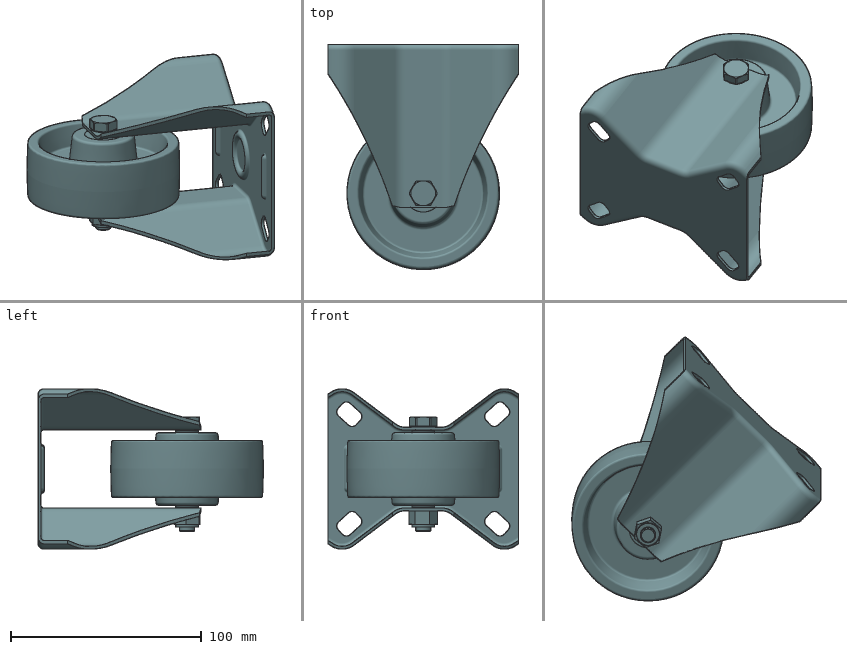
import cadquery as cq
import math


sheet = 1.5
plate_width = 100.0
plate_y = 78.0
leg_end_y = -7.3
bend_radius = sheet

web_z = 22.0
web_corner_x = 12.4
flare_slope = math.radians(37)
lip_slope = math.radians(32)
web_bend_radius = 7.9
crest_radius = 10.4
crest_x = 42.5
lip_overrun = 5.9
outline_half_width = plate_width / 2 + lip_overrun
bracket_reach = 47.2

leg_shoulder_y = 62.5
leg_edge_middle = (29.4, 26.2)
leg_tip = (16.2, -6.5)

slot_x = 38.7
slot_z = 28.7
slot_length = 12.7
slot_width = 9.0
slot_corner_radius = 3.0
slot_angle = 42.5

bead_width = 5.7
bead_height = 1.9
bead_root_fillet = 0.8
rib_x = 38.9
rib_straight = 20.1
ring_radius = 10.7

wheel_radius = 40.0
tread_edge_radius = 39.5
wheel_width = 30.0
tread_edge_fillet = 1.1
rim_mouth_radius = 33.9
rim_root_radius = 31.4
rim_fillet = 1.2
disc_thickness = 5.9
hub_length = 38.0
hub_end_radius = 16.2
hub_root_radius = 17.9
hub_fillet = 1.5

bolt_radius = 4.0
sleeve_radius = 6.0
sleeve_length = 40.0
bushing_radius = 9.8
bushing_length = 10.0
hex_flats = 13.0
bolt_head_height = 5.3
bolt_collar_radius = 6.4
bolt_collar_height = 0.5
bolt_end_z = -32.8
bolt_end_chamfer = 0.6
head_chamfer_height = 0.5
head_chamfer_angle = math.radians(30)
nut_height = 7.1
nut_collar_radius = 6.0
nut_collar_height = 1.4
nut_turn = -4

plate_inner_y = plate_y - sheet
tolerance = 0.01


def cylinder(radius, z_low, z_high):
    return cq.Workplane("XY").workplane(offset=z_low).circle(radius).extrude(z_high - z_low)


def hexagon(z_low, z_high):
    corner_diameter = hex_flats / math.cos(math.radians(30))
    return cq.Workplane("XY").workplane(offset=z_low).polygon(6, corner_diameter).extrude(z_high - z_low)


def flared_block(inset, face_y, edge_radius):
    """Block with the cross-section of the bracket, moved inwards by `inset`, with rounded +Y edges."""
    crest_half_angle = (flare_slope + lip_slope) / 2
    tangent_length = crest_radius * math.tan(crest_half_angle)
    flare_end_x = crest_x - crest_radius * math.sin(flare_slope)
    sharp_x = flare_end_x + tangent_length * math.cos(flare_slope)
    sharp_z = web_z + (sharp_x - web_corner_x) * math.tan(flare_slope)
    lip_end_z = sharp_z - (outline_half_width - sharp_x) * math.tan(lip_slope)
    upper = [
        (-outline_half_width, lip_end_z),
        (-sharp_x, sharp_z),
        (-web_corner_x, web_z),
        (web_corner_x, web_z),
        (sharp_x, sharp_z),
        (outline_half_width, lip_end_z),
    ]
    lower = [(x, -z) for x, z in reversed(upper)]
    length = face_y - leg_end_y + sheet
    block = cq.Workplane("XZ", origin=(0, face_y, 0)).polyline(upper + lower).close().extrude(length)

    def corners_at(x):
        return lambda edge: abs(abs(edge.Center().x) - x) < tolerance

    block = block.edges("|Y").filter(corners_at(web_corner_x)).fillet(web_bend_radius)
    block = block.edges("|Y").filter(corners_at(sharp_x)).fillet(crest_radius)
    if inset:
        section = block.faces("<Y").wires().vals()[0].offset2D(-inset)
        block = cq.Workplane("XY").add(cq.Solid.extrudeLinear(section[0], [], cq.Vector(0, length, 0)))
    return block.faces(">Y").edges().fillet(edge_radius)


def leg_outline():
    """Shape of the bracket looking along the axle: full width at the plate, tapering to the axle."""
    half = plate_width / 2
    tip_x, tip_y = leg_tip
    side_x, side_y = leg_edge_middle
    return (
        cq.Workplane("XY")
        .moveTo(-half, plate_y)
        .lineTo(half, plate_y)
        .lineTo(half, leg_shoulder_y)
        .threePointArc((side_x, side_y), (tip_x, tip_y))
        .lineTo(web_corner_x, leg_end_y)
        .lineTo(-web_corner_x, leg_end_y)
        .lineTo(-tip_x, tip_y)
        .threePointArc((-side_x, side_y), (-half, leg_shoulder_y))
        .close()
        .extrude(bracket_reach, both=True)
    )


def mounting_slots():
    slots = cq.Workplane("XY")
    for side_x in (-1, 1):
        for side_z in (-1, 1):
            slot = (
                cq.Workplane("XY")
                .box(slot_length, 4 * sheet, slot_width)
                .edges("|Y")
                .fillet(slot_corner_radius)
                .rotate((0, 0, 0), (0, 1, 0), -side_x * side_z * slot_angle)
                .translate((side_x * slot_x, plate_y, side_z * slot_z))
            )
            slots = slots.add(slot)
    return slots.combine()


def bead_half_profile():
    """Points of one half of the bead's cross-section, from its crest to its foot on the plate.

    A convex dome runs tangentially into a concave root fillet. The list alternates the middle
    and the end of each arc, as (distance from the bead's centre line, height towards +Y).
    """
    half = bead_width / 2
    rise = bead_height - bead_root_fillet
    dome_radius = (half**2 + rise**2 - bead_root_fillet**2) / (2 * (rise + bead_root_fillet))
    dome_centre = dome_radius - bead_height
    joint_angle = math.atan2(half, dome_centre + bead_root_fillet)

    def on_dome(angle):
        return dome_radius * math.sin(angle), dome_centre - dome_radius * math.cos(angle)

    root_middle = (
        half - bead_root_fillet * math.sin(joint_angle / 2),
        bead_root_fillet * (math.cos(joint_angle / 2) - 1),
    )
    return [on_dome(joint_angle / 2), on_dome(joint_angle), root_middle, (half, 0)]


def bead_section(z, center_x):
    """Whole bead cross-section standing on the inner face of the plate, at height z."""
    half = bead_width / 2
    _, joint, root_middle, foot = bead_half_profile()

    def right(point):
        return center_x + point[0], point[1]

    def left(point):
        return center_x - point[0], point[1]

    return (
        cq.Workplane("XY", origin=(0, plate_inner_y, z))
        .moveTo(center_x - half, sheet / 2)
        .lineTo(*left(foot))
        .threePointArc(left(root_middle), left(joint))
        .threePointArc((center_x, -bead_height), right(joint))
        .threePointArc(right(root_middle), right(foot))
        .lineTo(center_x + half, sheet / 2)
        .close()
    )


def bead_ring():
    return bead_section(0, ring_radius).revolve(360, (0, 0, 0), (0, 1, 0))


def bead_rib(center_x):
    """Straight bead along Z with rounded ends."""
    rib = bead_section(-rib_straight / 2, center_x).extrude(rib_straight)
    dome_middle, joint, root_middle, foot = bead_half_profile()
    for end in (-1, 1):
        rounded_end = (
            cq.Workplane("XY", origin=(center_x, plate_inner_y, end * rib_straight / 2))
            .moveTo(0, sheet / 2)
            .lineTo(0, -bead_height)
            .threePointArc(dome_middle, joint)
            .threePointArc(root_middle, foot)
            .lineTo(bead_width / 2, sheet / 2)
            .close()
            .revolve(360, (0, 0, 0), (0, 1, 0))
        )
        rib = rib.union(rounded_end)
    return rib


def make_bracket():
    outside = flared_block(0, plate_y, bend_radius + sheet)
    inside = flared_block(sheet, plate_inner_y, bend_radius)
    bracket = outside.cut(inside).intersect(leg_outline())
    bracket = bracket.cut(mounting_slots())
    bracket = bracket.union(bead_ring())
    for side in (-1, 1):
        bracket = bracket.union(bead_rib(side * rib_x))
    return bracket.cut(cylinder(bolt_radius, -bracket_reach, bracket_reach))


def fillet_circles(body, radius, z, fillet_radius):
    """Round the pair of circular edges with this radius at heights +z and -z."""

    def matches(edge):
        return abs(edge.radius() - radius) < tolerance and abs(abs(edge.Center().z) - z) < tolerance

    return body.edges("%CIRCLE").filter(matches).fillet(fillet_radius)


def make_wheel():
    half_width = wheel_width / 2
    half_disc = disc_thickness / 2
    half_hub = hub_length / 2
    half_bulge = wheel_radius - (wheel_radius - tread_edge_radius) / 4
    half_wheel = (
        cq.Workplane("XZ")
        .moveTo(sleeve_radius, 0)
        .lineTo(wheel_radius, 0)
        .threePointArc((half_bulge, half_width / 2), (tread_edge_radius, half_width))
        .lineTo(rim_mouth_radius, half_width)
        .lineTo(rim_root_radius, half_disc)
        .lineTo(hub_root_radius, half_disc)
        .lineTo(hub_end_radius, half_hub)
        .lineTo(bushing_radius, half_hub)
        .lineTo(bushing_radius, half_hub - bushing_length)
        .lineTo(sleeve_radius, half_hub - bushing_length)
        .close()
        .revolve(360, (0, 0, 0), (0, 1, 0))
    )
    half_wheel = fillet_circles(half_wheel, tread_edge_radius, half_width, tread_edge_fillet)
    half_wheel = fillet_circles(half_wheel, rim_mouth_radius, half_width, rim_fillet)
    half_wheel = fillet_circles(half_wheel, rim_root_radius, half_disc, rim_fillet)
    half_wheel = fillet_circles(half_wheel, hub_root_radius, half_disc, hub_fillet)
    half_wheel = fillet_circles(half_wheel, hub_end_radius, half_hub, hub_fillet)
    return half_wheel.union(half_wheel.mirror("XY"))


def make_bushing(side):
    """Plain bearing ring, flush with the hub end on the given side."""
    half_hub = hub_length / 2
    ring = cylinder(bushing_radius, half_hub - bushing_length, half_hub)
    ring = ring.cut(cylinder(sleeve_radius, 0, hub_length))
    return ring if side > 0 else ring.mirror("XY")


def make_sleeve():
    """Axle tube around the bolt, between the bracket legs."""
    half = sleeve_length / 2
    return cylinder(sleeve_radius, -half, half).cut(cylinder(bolt_radius, -half, half))


def make_bolt():
    hex_z = web_z + bolt_collar_height
    top_z = web_z + bolt_head_height
    flat_radius = hex_flats / 2
    cone_radius = flat_radius + head_chamfer_height / math.tan(head_chamfer_angle)
    corner_cone = (
        cylinder(cone_radius, hex_z, top_z)
        .faces(">Z")
        .chamfer(head_chamfer_height, cone_radius - flat_radius)
    )
    head = hexagon(hex_z, top_z).intersect(corner_cone)
    collar = cylinder(bolt_collar_radius, web_z, hex_z)
    shank = cylinder(bolt_radius, bolt_end_z, hex_z).faces("<Z").chamfer(bolt_end_chamfer)
    return head.union(collar).union(shank)


def make_nut():
    hex_end_z = -web_z - nut_height
    collar_end_z = hex_end_z - nut_collar_height
    nut = hexagon(hex_end_z, -web_z).rotate((0, 0, 0), (0, 0, 1), nut_turn)
    nut = nut.union(cylinder(nut_collar_radius, collar_end_z, hex_end_z))
    return nut.cut(cylinder(bolt_radius, collar_end_z, -web_z))


bracket = make_bracket()
wheel = make_wheel()
sleeve = make_sleeve()
bushings = [make_bushing(side) for side in (-1, 1)]
bolt = make_bolt()
nut = make_nut()

result = cq.Compound.makeCompound(
    [
        bracket.val(),
        wheel.val(),
        sleeve.val(),
        *[bushing.val() for bushing in bushings],
        bolt.val(),
        nut.val(),
    ]
)